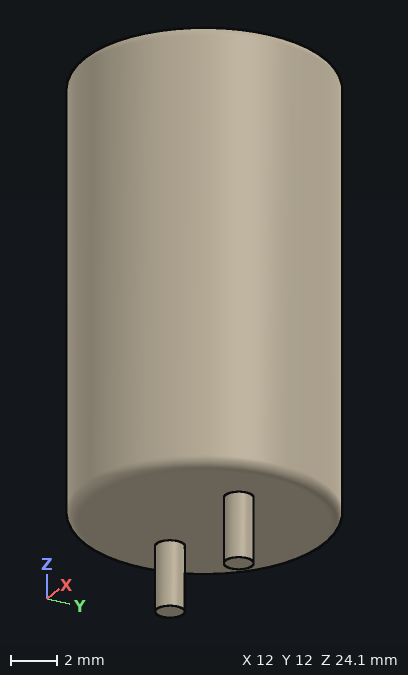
import cadquery as cq

total_height = 24.1
can_diameter = 12.0
can_edge_radius = 0.5

pin_length = 3.1
pin_diameter = 1.3
pin_spacing = can_diameter / 2

can_height = total_height - pin_length


def make_can():
    """Cylinder standing on Z = 0 with both rims rounded."""
    can = cq.Workplane("XY").circle(can_diameter / 2).extrude(can_height)
    return can.faces("|Z").edges().fillet(can_edge_radius)


def make_pins():
    """Pair of round pins hanging below the can."""
    pin_centers = [(-pin_spacing / 2, 0), (pin_spacing / 2, 0)]
    return cq.Workplane("XY").pushPoints(pin_centers).circle(pin_diameter / 2).extrude(-pin_length)


result = make_can().union(make_pins())